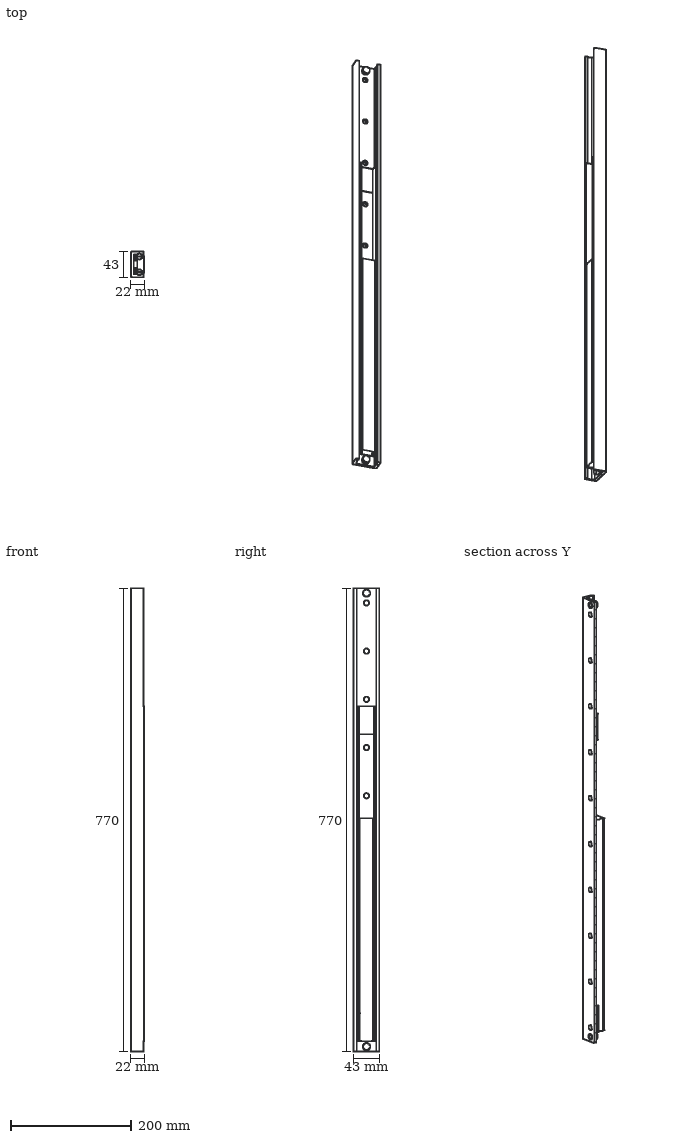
import cadquery as cq

LENGTH = 770.0
WIDTH = 43.0
DEPTH = 22.0
WEB_THICKNESS = 5.0
FLANGE_THICKNESS = 5.5
CORNER_RADIUS = 2.7
LIP_RADIUS = 1.5
BACK_X = -DEPTH / 2
WEB_INNER_X = BACK_X + WEB_THICKNESS
FRONT_X = DEPTH / 2
RAIL_SETBACK = 1.0
RAIL_FRONT_X = FRONT_X - RAIL_SETBACK

HOLE_DIAMETER = 8.5
HOLE_COUNT = 10
HOLE_PITCH = 80.0
FIRST_HOLE_Z = (LENGTH - (HOLE_COUNT - 1) * HOLE_PITCH) / 2

SHANK_DIAMETER = 10.0
HEAD_DIAMETER = 12.0
HEAD_LENGTH = 6.0
BORE_DIAMETER = 8.5
BORE_DEPTH = 1.5
PIN_END_DISTANCE = 8.5
PIN_HEIGHTS = (PIN_END_DISTANCE, LENGTH - PIN_END_DISTANCE)

RACEWAY_X = 3.0
RACEWAY_Y = 13.0
RACEWAY_RADIUS = 5.0

CAGE_BOTTOM_Z = 18.0
CAGE_LENGTH = 556.0
CAGE_THICKNESS = 1.5
CAGE_BACK_X = -4.0
CAGE_INNER_X = CAGE_BACK_X + CAGE_THICKNESS
CAGE_WIDTH = 2 * RACEWAY_Y + CAGE_THICKNESS
BRIDGE_HEIGHT = 46.0

SLIDER_LENGTH = 370.0
SLIDER_WIDTH = 21.5


def upright_box(x_min, x_max, y_centre, y_size, z_min, height):
    """Box along Z, placed by its X range, Y centre and bottom."""
    return (
        cq.Workplane("XY", origin=((x_min + x_max) / 2, y_centre, z_min))
        .rect(x_max - x_min, y_size)
        .extrude(height)
    )


def cross_cylinder(x_min, z, diameter, length):
    """Cylinder along +X on the middle plane, starting at x_min."""
    return cq.Workplane("YZ", origin=(x_min, 0, z)).circle(diameter / 2).extrude(length)


def cut_raceways(body, z_min, height):
    """Cut the raceway grooves of both sides into a body."""
    for side in (1, -1):
        groove = (
            cq.Workplane("XY", origin=(RACEWAY_X, side * RACEWAY_Y, z_min))
            .circle(RACEWAY_RADIUS)
            .extrude(height)
        )
        body = body.cut(groove)
    return body


def make_rail():
    rail = upright_box(BACK_X, RAIL_FRONT_X, 0, WIDTH, 0, LENGTH)
    rail = rail.edges("|Z and <X").fillet(CORNER_RADIUS)
    rail = rail.edges("|Z and >X").fillet(LIP_RADIUS)

    channel_width = WIDTH - 2 * FLANGE_THICKNESS
    rail = rail.cut(upright_box(WEB_INNER_X, RAIL_FRONT_X, 0, channel_width, 0, LENGTH))

    rail = cut_raceways(rail, 0, LENGTH)

    for index in range(HOLE_COUNT):
        hole_z = FIRST_HOLE_Z + index * HOLE_PITCH
        rail = rail.cut(cross_cylinder(BACK_X, hole_z, HOLE_DIAMETER, WEB_THICKNESS))

    for pin_z in PIN_HEIGHTS:
        rail = rail.cut(cross_cylinder(BACK_X, pin_z, SHANK_DIAMETER, WEB_THICKNESS))
    return rail


def make_pin(z):
    shank = cross_cylinder(BACK_X, z, SHANK_DIAMETER, WEB_THICKNESS)
    head = cross_cylinder(WEB_INNER_X, z, HEAD_DIAMETER, HEAD_LENGTH)
    bore = cross_cylinder(BACK_X, z, BORE_DIAMETER, BORE_DEPTH)
    return shank.union(head).cut(bore)


def make_cage():
    bridge_bottoms = (CAGE_BOTTOM_Z, CAGE_BOTTOM_Z + CAGE_LENGTH - BRIDGE_HEIGHT)

    cage = cq.Workplane("XY")
    for z in bridge_bottoms:
        cage = cage.add(upright_box(CAGE_BACK_X, CAGE_INNER_X, 0, CAGE_WIDTH, z, BRIDGE_HEIGHT))
    for side in (1, -1):
        leg_y = side * RACEWAY_Y
        cage = cage.add(upright_box(CAGE_BACK_X, FRONT_X, leg_y, CAGE_THICKNESS, CAGE_BOTTOM_Z, CAGE_LENGTH))
    return cage.combine()


def make_slider():
    slider = upright_box(CAGE_INNER_X, FRONT_X, 0, SLIDER_WIDTH, CAGE_BOTTOM_Z, SLIDER_LENGTH)
    return cut_raceways(slider, CAGE_BOTTOM_Z, SLIDER_LENGTH)


pins = [make_pin(z) for z in PIN_HEIGHTS]
rail = make_rail()
cage = make_cage()
slider = make_slider()

result = cq.Compound.makeCompound(
    [rail.val(), cage.val(), slider.val(), *[pin.val() for pin in pins]]
)